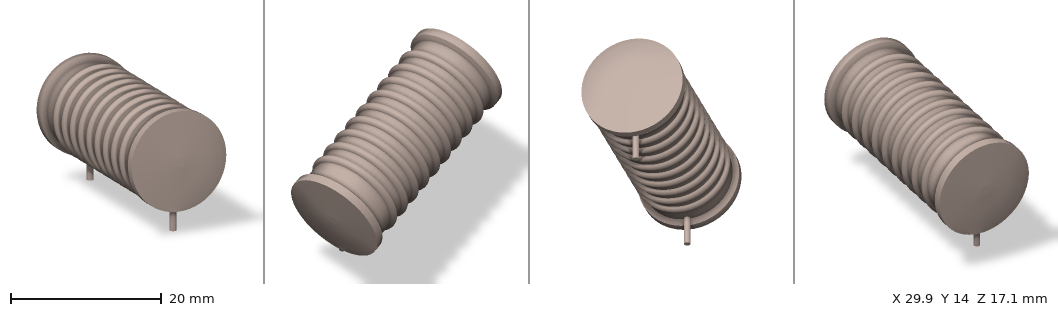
import cadquery as cq

length = 29.85
flange_diameter = 13.97
overall_height = 17.07

core_diameter = 12.48
crown_height = 0.42
crown_flat_radius = 0.7
flange_width = 1.2
flange_taper = 0.45

ring_count = 9
ring_pitch = 2.5
ring_group_center = 0.3
ring_section_radius = 0.63
ring_top_radius = 6.75

pin_diameter = 0.9
pin_spacing = 25.3

half_length = length / 2
flange_radius = flange_diameter / 2
core_radius = core_diameter / 2
pin_bottom = flange_radius - overall_height


def make_body():
    """Revolve the core, flanges and shallow conical end faces as one spool."""
    rim_x = half_length - crown_height
    inner_x = rim_x - flange_width
    taper_x = inner_x - flange_taper
    return (
        cq.Workplane("XY")
        .moveTo(-half_length, 0)
        .lineTo(-half_length, crown_flat_radius)
        .lineTo(-rim_x, flange_radius)
        .lineTo(-inner_x, flange_radius)
        .lineTo(-taper_x, core_radius)
        .lineTo(taper_x, core_radius)
        .lineTo(inner_x, flange_radius)
        .lineTo(rim_x, flange_radius)
        .lineTo(half_length, crown_flat_radius)
        .lineTo(half_length, 0)
        .close()
        .revolve(360, (0, 0, 0), (1, 0, 0))
    )


def make_ring(x):
    """Make one round-section ring about the X axis."""
    center_radius = ring_top_radius - ring_section_radius
    return (
        cq.Workplane("XY")
        .center(x, center_radius)
        .circle(ring_section_radius)
        .revolve(360, (0, -center_radius, 0), (1, -center_radius, 0))
    )


def make_pin(x):
    """Make one lead from the core axis down to the bottom of the part."""
    return (
        cq.Workplane("XY", origin=(x, 0, 0))
        .circle(pin_diameter / 2)
        .extrude(pin_bottom)
    )


result = make_body()

for index in range(ring_count):
    ring_x = ring_group_center + (index - (ring_count - 1) / 2) * ring_pitch
    result = result.union(make_ring(ring_x))

for side in (-1, 1):
    result = result.union(make_pin(side * pin_spacing / 2))